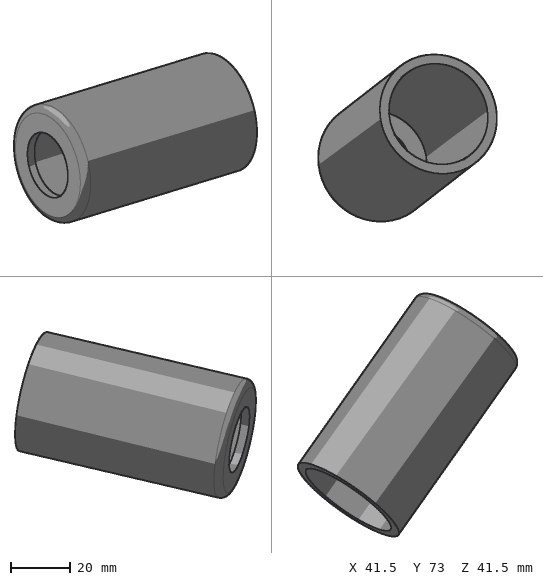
import cadquery as cq

length = 73.0
outer_diameter = 41.5
rounding_radius = 2.5

lip_diameter = 22.8
lip_depth = 3.0
bore_diameter = 35.0

front_y = -length / 2
lip_end_y = front_y + lip_depth


def cylinder_along_y(diameter, start_y, depth):
    """Solid cylinder on the Y axis, running from start_y toward +Y."""
    plane = cq.Workplane("XZ", origin=(0, start_y, 0))
    return plane.circle(diameter / 2).extrude(-depth)


body = cylinder_along_y(outer_diameter, front_y, length)
body = body.faces("<Y").edges().fillet(rounding_radius)

through_hole = cylinder_along_y(lip_diameter, front_y, length)
wide_bore = cylinder_along_y(bore_diameter, lip_end_y, length - lip_depth)

result = body.cut(through_hole).cut(wide_bore)